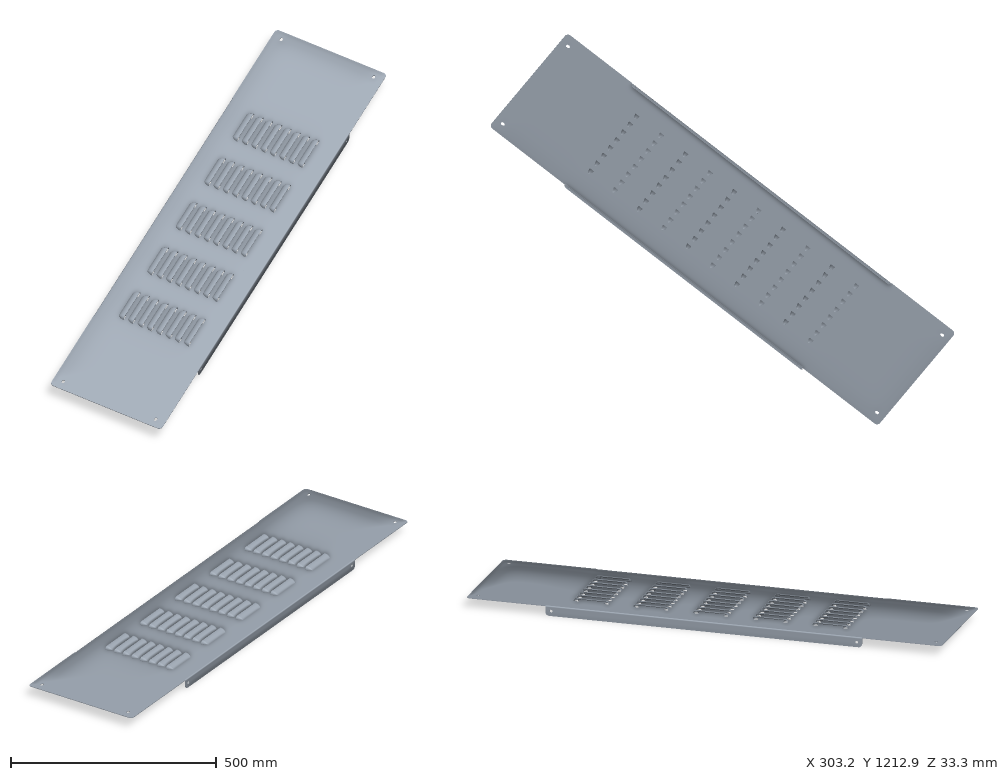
import cadquery as cq
import math

SHEET = 1.52
PLATE_WIDTH = 303.21
PLATE_LENGTH = 1212.85
PLATE_CORNER_RADIUS = 9.5
OVERALL_HEIGHT = 33.32

SLOT_WIDTH = 7.14
SLOT_LENGTH = 10.3
SLOT_SIDE_MARGIN = 25.4
SLOT_END_MARGIN = 22.2

FLANGE_DEPTH = 25.4
BEND_INNER_RADIUS = SHEET
BEND_OUTER_RADIUS = BEND_INNER_RADIUS + SHEET
SHORT_FLANGE_LENGTH = 742.0
LONG_FLANGE_LENGTH = 808.0
FLANGE_CORNER_RADIUS = PLATE_CORNER_RADIUS
FLANGE_HOLE_DIAMETER = 7.14
SHORT_FLANGE_HOLE_MARGIN = 12.7
LONG_FLANGE_HOLE_MARGIN = 14.3

LOUVER_COLUMNS = 8
LOUVER_ROWS = 5
LOUVER_COLUMN_PITCH = 25.4
LOUVER_ROW_PITCH = 152.4
LOUVER_HEIGHT = OVERALL_HEIGHT - FLANGE_DEPTH
LOUVER_WIDTH = 16.6
LOUVER_OPENING_OFFSET = 8.1
LOUVER_STRAIGHT_LENGTH = 76.2
LOUVER_ARCH_RADIUS = (LOUVER_WIDTH**2 + LOUVER_HEIGHT**2) / (2 * LOUVER_HEIGHT)

HALF_WIDTH = PLATE_WIDTH / 2


def make_plate():
    """Flat panel with its top face at Z = 0, rounded corners and four slots."""
    slot_spacing_x = PLATE_WIDTH - 2 * SLOT_SIDE_MARGIN
    slot_spacing_y = PLATE_LENGTH - 2 * SLOT_END_MARGIN
    return (
        cq.Workplane("XY")
        .box(PLATE_WIDTH, PLATE_LENGTH, SHEET, centered=(True, True, False))
        .translate((0, 0, -SHEET))
        .edges("|Z")
        .fillet(PLATE_CORNER_RADIUS)
        .faces(">Z")
        .workplane()
        .rarray(slot_spacing_x, slot_spacing_y, 2, 2)
        .slot2D(SLOT_LENGTH, SLOT_WIDTH, 90)
        .cutThruAll()
    )


def add_flange(panel, side, length, hole_margin):
    """Replace the plate edge on one side (+1 or -1 along X) by a bend and a flange."""
    edge_strip = (
        cq.Workplane("XY")
        .box(BEND_OUTER_RADIUS, length, SHEET)
        .translate((side * (HALF_WIDTH - BEND_OUTER_RADIUS / 2), 0, -SHEET / 2))
    )
    bend_x = side * (HALF_WIDTH - BEND_OUTER_RADIUS)
    diagonal = math.sqrt(0.5)
    outer_mid = (
        bend_x + side * BEND_OUTER_RADIUS * diagonal,
        BEND_OUTER_RADIUS * (diagonal - 1),
    )
    inner_mid = (
        bend_x + side * BEND_INNER_RADIUS * diagonal,
        BEND_INNER_RADIUS * diagonal - BEND_OUTER_RADIUS,
    )
    outer_x = side * HALF_WIDTH
    inner_x = side * (HALF_WIDTH - SHEET)
    flange = (
        cq.Workplane("XZ")
        .moveTo(bend_x, 0)
        .threePointArc(outer_mid, (outer_x, -BEND_OUTER_RADIUS))
        .lineTo(outer_x, -FLANGE_DEPTH)
        .lineTo(inner_x, -FLANGE_DEPTH)
        .lineTo(inner_x, -BEND_OUTER_RADIUS)
        .threePointArc(inner_mid, (bend_x, -SHEET))
        .close()
        .extrude(length / 2, both=True)
        .edges("|X")
        .edges("<Z")
        .fillet(FLANGE_CORNER_RADIUS)
    )
    hole_y = length / 2 - hole_margin
    holes = (
        cq.Workplane("YZ", origin=(inner_x, 0, -FLANGE_DEPTH / 2))
        .pushPoints([(-hole_y, 0), (hole_y, 0)])
        .circle(FLANGE_HOLE_DIAMETER / 2)
        .extrude(SHEET, both=True)
    )
    return panel.cut(edge_strip).union(flange.cut(holes))


def make_hood(inset, floor_z):
    """Solid hood inset from the louver's outer skin, down to floor_z, with its open side on X = 0.

    The arch is level at its crest, on the open side, and falls to a toe at Z = 0.
    The same profile revolved about the X axis rounds off both ends.
    """
    arch_radius = LOUVER_ARCH_RADIUS - inset
    arch_center_z = LOUVER_HEIGHT - LOUVER_ARCH_RADIUS
    toe_x = -math.sqrt(arch_radius**2 - arch_center_z**2)
    half_angle = math.asin(-toe_x / arch_radius) / 2
    arch_mid = (
        -arch_radius * math.sin(half_angle),
        arch_center_z + arch_radius * math.cos(half_angle),
    )

    def profile(y):
        return (
            cq.Workplane("XZ", origin=(0, y, 0))
            .moveTo(toe_x, 0)
            .threePointArc(arch_mid, (0, LOUVER_HEIGHT - inset))
            .lineTo(0, 0)
            .close()
        )

    half_straight = LOUVER_STRAIGHT_LENGTH / 2
    hood = profile(0).extrude(half_straight, both=True)
    for end_y in (-half_straight, half_straight):
        hood = hood.union(profile(end_y).revolve(360, (0, 0), (1, 0)))
    above_floor = cq.Workplane("XY").box(
        2 * LOUVER_WIDTH, 2 * LOUVER_STRAIGHT_LENGTH, 2 * LOUVER_HEIGHT, centered=(True, True, False)
    )
    return hood.intersect(above_floor.translate((0, 0, floor_z)))


def add_louvers(panel):
    """Grid of hollow louvers whose cavities open through the plate."""
    hood = make_hood(0, 0).val()
    cavity = make_hood(SHEET, -SHEET).val()
    sites = (
        cq.Workplane("XY", origin=(LOUVER_OPENING_OFFSET, 0, 0))
        .rarray(LOUVER_COLUMN_PITCH, LOUVER_ROW_PITCH, LOUVER_COLUMNS, LOUVER_ROWS)
    )
    hoods = sites.eachpoint(lambda place: hood.located(place), combine=False)
    cavities = sites.eachpoint(lambda place: cavity.located(place), combine=False)
    return panel.union(hoods).cut(cavities)


panel = make_plate()
panel = add_flange(panel, -1, SHORT_FLANGE_LENGTH, SHORT_FLANGE_HOLE_MARGIN)
panel = add_flange(panel, 1, LONG_FLANGE_LENGTH, LONG_FLANGE_HOLE_MARGIN)
result = add_louvers(panel)